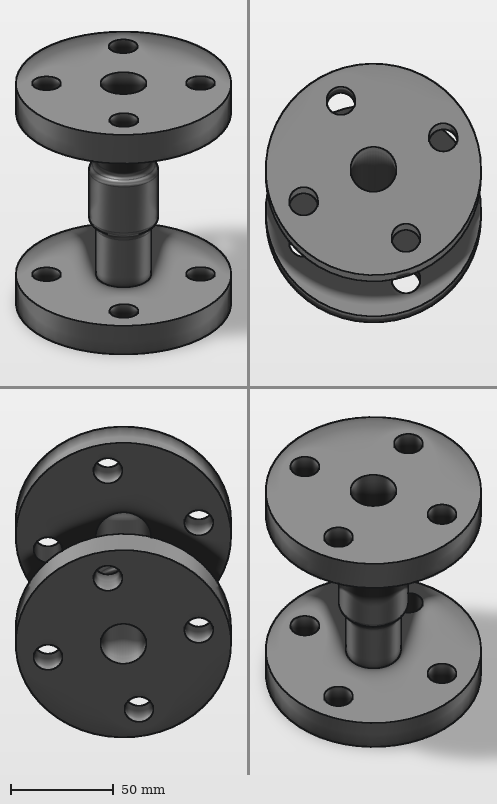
import cadquery as cq

total_height = 122.0
full_turn = 360.0

flange_diameter = 105.0
flange_thickness = 16.0
bolt_hole_diameter = 14.0
bolt_circle_diameter = 75.0
bolt_count = 4
first_bolt_angle = 45.0

pipe_diameter = 27.0
bore_diameter = 22.3
sleeve_diameter = 33.9
sleeve_straight_length = 25.5
transition_arc_height = 2.9

half_height = total_height / 2
pipe_radius = pipe_diameter / 2
sleeve_radius = sleeve_diameter / 2
bolt_circle_radius = bolt_circle_diameter / 2
sleeve_shoulder_z = sleeve_straight_length / 2
transition_middle_z = sleeve_shoulder_z + transition_arc_height
sleeve_end_z = transition_middle_z + transition_arc_height
transition_middle_radius = (pipe_radius + sleeve_radius) / 2


def make_pipe():
    """Solid pipe whose sleeve blends into it through two tangent arcs at each end."""
    axis_start = (0, 0)
    axis_end = (0, 1)
    return (
        cq.Workplane("XZ")
        .moveTo(0, -half_height)
        .lineTo(pipe_radius, -half_height)
        .lineTo(pipe_radius, -sleeve_end_z)
        .tangentArcPoint((transition_middle_radius, -transition_middle_z), relative=False)
        .tangentArcPoint((sleeve_radius, -sleeve_shoulder_z), relative=False)
        .lineTo(sleeve_radius, sleeve_shoulder_z)
        .tangentArcPoint((transition_middle_radius, transition_middle_z), relative=False)
        .tangentArcPoint((pipe_radius, sleeve_end_z), relative=False)
        .lineTo(pipe_radius, half_height)
        .lineTo(0, half_height)
        .close()
        .revolve(full_turn, axis_start, axis_end)
    )


def make_flange(bottom_z):
    """Round flange with its ring of bolt holes, resting on the height bottom_z."""
    disc = cq.Workplane("XY").workplane(offset=bottom_z).circle(flange_diameter / 2).extrude(flange_thickness)
    bolt_holes = (
        cq.Workplane("XY")
        .workplane(offset=bottom_z)
        .polarArray(bolt_circle_radius, first_bolt_angle, full_turn, bolt_count)
        .circle(bolt_hole_diameter / 2)
        .extrude(flange_thickness)
    )
    return disc.cut(bolt_holes)


def make_bore():
    """Straight bore through the whole part."""
    return cq.Workplane("XY").workplane(offset=-half_height).circle(bore_diameter / 2).extrude(total_height)


result = make_pipe()
for flange_bottom_z in (-half_height, half_height - flange_thickness):
    result = result.union(make_flange(flange_bottom_z))
result = result.cut(make_bore())